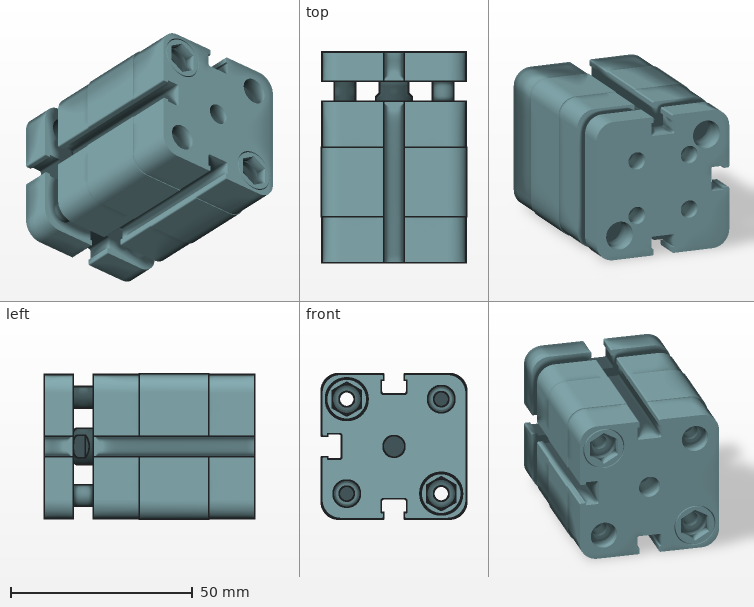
import cadquery as cq

TOTAL_LENGTH = 58.0
CAP_LENGTH = 12.7
BARREL_LENGTH = 19.1
PLATE_THICKNESS = 8.05
BARREL_START = -TOTAL_LENGTH / 2 + CAP_LENGTH
FRONT_CAP_START = BARREL_START + BARREL_LENGTH
BODY_END = FRONT_CAP_START + CAP_LENGTH
END_FACE = -TOTAL_LENGTH / 2
PLATE_START = TOTAL_LENGTH / 2 - PLATE_THICKNESS
GAP = PLATE_START - BODY_END

BARREL_WIDTH = 40.1
CAP_WIDTH = 39.7
CORNER_RADIUS = 5.0

SLOT_MOUTH_WIDTH = 5.55
SLOT_WIDTH = 6.9
SLOT_FLOOR = 14.45
SLOT_LIP = 18.15
SLOT_FLOOR_FILLET = 0.5
SLOT_MOUTH_FILLET = 0.4
SLOT_ANGLES = (0, 90, 180)

SCREW_OFFSET = 13.0
SCREW_CENTRES = ((-SCREW_OFFSET, SCREW_OFFSET), (SCREW_OFFSET, -SCREW_OFFSET))
COUNTERBORE_DIAMETER = 11.7
SCREW_HEAD_DIAMETER = 11.1
HEAD_GROOVE_DEPTH = 1.0
SOCKET_ACROSS_FLATS = 8.0
SOCKET_DEPTH = 3.0
SOCKET_RELIEF_DEPTH = 1.7
BORE_DIAMETER = 4.1

PLAIN_CENTRES = ((SCREW_OFFSET, SCREW_OFFSET), (-SCREW_OFFSET, -SCREW_OFFSET))
CORNER_HOLE_DIAMETER = 7.5
CORNER_HOLE_DEPTH = 4.65
CORNER_HOLE_CORE_DEPTH = 5.0
PORT_DIAMETER = 6.0
PORT_DEPTH = 10.0

PIN_OFFSET = 13.5
PIN_CENTRES = ((PIN_OFFSET, PIN_OFFSET), (-PIN_OFFSET, -PIN_OFFSET))
PIN_DIAMETER = 6.0
ROD_DIAMETER = 10.1
ROD_ACROSS_FLATS = 8.0
ROD_FLAT_LENGTH = 3.3
ROD_END_FILLET = 1.2
ACCESS_HOLE_DIAMETER = 8.0
MOUNTING_OFFSET = 7.85
MOUNTING_HOLE_DIAMETER = 5.0


def plane_at(y):
    """XZ sketch plane at a given Y, extruding toward +Y, with local (x, y) = (X, -Z)."""
    return cq.Workplane(cq.Plane(origin=(0, y, 0), xDir=(1, 0, 0), normal=(0, 1, 0)))


def cylinder(centre, diameter, y, length):
    x, z = centre
    return plane_at(y).center(x, -z).circle(diameter / 2).extrude(length)


def slot(width, y, length):
    """T-slot cutter for the +Z side of a profile of the given width, with a rounded mouth."""
    top = width / 2
    half_mouth = SLOT_MOUTH_WIDTH / 2
    half_slot = SLOT_WIDTH / 2
    r = SLOT_MOUTH_FILLET
    f = SLOT_FLOOR_FILLET
    return (
        plane_at(y)
        .moveTo(-half_mouth - r, -top)
        .radiusArc((-half_mouth, -top + r), -r)
        .lineTo(-half_mouth, -SLOT_LIP)
        .lineTo(-half_slot, -SLOT_LIP)
        .lineTo(-half_slot, -SLOT_FLOOR - f)
        .radiusArc((-half_slot + f, -SLOT_FLOOR), f)
        .lineTo(half_slot - f, -SLOT_FLOOR)
        .radiusArc((half_slot, -SLOT_FLOOR - f), f)
        .lineTo(half_slot, -SLOT_LIP)
        .lineTo(half_mouth, -SLOT_LIP)
        .lineTo(half_mouth, -top + r)
        .radiusArc((half_mouth + r, -top), -r)
        .close()
        .extrude(length)
    )


def profile_block(width, y, length):
    """Rounded square block with T-slots on its +Z, -X and -Z sides."""
    block = plane_at(y).rect(width, width).extrude(length).edges("|Y").fillet(CORNER_RADIUS)
    cutter = slot(width, y, length)
    for angle in SLOT_ANGLES:
        block = block.cut(cutter.rotate((0, 0, 0), (0, -1, 0), angle))
    return block


def piston_rod():
    """Rod with a rounded outer end and two flats whose inner ends run out at 45 degrees."""
    radius = ROD_DIAMETER / 2
    half_flats = ROD_ACROSS_FLATS / 2
    runout = radius - half_flats
    flat_start = PLATE_START - ROD_FLAT_LENGTH
    rod = (
        cylinder((0, 0), ROD_DIAMETER, BODY_END, GAP)
        .faces(">Y")
        .fillet(ROD_END_FILLET)
    )
    flats = (
        cq.Workplane("XY")
        .moveTo(half_flats, PLATE_START)
        .lineTo(half_flats, flat_start)
        .lineTo(radius, flat_start - runout)
        .lineTo(radius, PLATE_START)
        .close()
        .extrude(radius, both=True)
    )
    return rod.cut(flats).cut(flats.mirror("YZ"))


def screw_cutter(centre):
    """Groove around the screw head, hexagon socket, round relief below it and the through bore."""
    x, z = centre
    groove = cylinder(centre, COUNTERBORE_DIAMETER, END_FACE, HEAD_GROOVE_DEPTH).cut(
        cylinder(centre, SCREW_HEAD_DIAMETER, END_FACE, HEAD_GROOVE_DEPTH)
    )
    socket = (
        plane_at(END_FACE)
        .center(x, -z)
        .polygon(6, SOCKET_ACROSS_FLATS, circumscribed=True)
        .extrude(SOCKET_DEPTH)
    )
    relief = cylinder(centre, SOCKET_ACROSS_FLATS, END_FACE, SOCKET_DEPTH + SOCKET_RELIEF_DEPTH)
    bore = cylinder(centre, BORE_DIAMETER, END_FACE, BODY_END - END_FACE)
    return groove.union(socket).union(relief).union(bore)


result = (
    profile_block(CAP_WIDTH, END_FACE, CAP_LENGTH)
    .union(profile_block(BARREL_WIDTH, BARREL_START, BARREL_LENGTH))
    .union(profile_block(CAP_WIDTH, FRONT_CAP_START, CAP_LENGTH))
)

result = result.union(profile_block(CAP_WIDTH, PLATE_START, PLATE_THICKNESS)).union(piston_rod())
for pin_centre in PIN_CENTRES:
    result = result.union(cylinder(pin_centre, PIN_DIAMETER, BODY_END, GAP))

for screw_centre in SCREW_CENTRES:
    result = result.cut(screw_cutter(screw_centre))
    result = result.cut(cylinder(screw_centre, ACCESS_HOLE_DIAMETER, PLATE_START, PLATE_THICKNESS))

for hole_centre in PLAIN_CENTRES:
    core_length = CORNER_HOLE_DEPTH + CORNER_HOLE_CORE_DEPTH
    result = result.cut(cylinder(hole_centre, CORNER_HOLE_DIAMETER, END_FACE, CORNER_HOLE_DEPTH))
    result = result.cut(cylinder(hole_centre, BORE_DIAMETER, END_FACE, core_length))
result = result.cut(cylinder((0, 0), PORT_DIAMETER, END_FACE, PORT_DEPTH))

for x in (-MOUNTING_OFFSET, MOUNTING_OFFSET):
    for z in (-MOUNTING_OFFSET, MOUNTING_OFFSET):
        result = result.cut(cylinder((x, z), MOUNTING_HOLE_DIAMETER, PLATE_START, PLATE_THICKNESS))